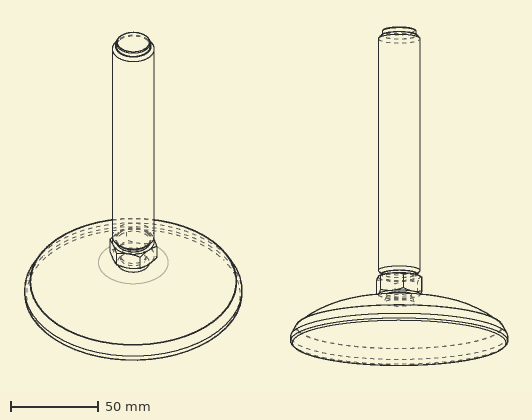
import cadquery as cq
import math

total_height = 183.7
base_diameter = 125

base_edge_chamfer = 1.1
base_rim_top = 3.9
skirt_top = 9.5
skirt_top_diameter = 118.8
dome_diameter = 118.0
dome_top = 23.5
flat_top_diameter = 40.0

cone_diameter = 18.4
neck_diameter = 14.7
neck_bottom = 26.8

nut_bottom = 28.5
nut_height = 10.3
across_flats = 24.0
nut_chamfer_angle = 30

stud_diameter = 24.0
shoulder_diameter = 20.5
shoulder_height = 2.0
relief_diameter = 19.5
stud_bottom = 42.6
stud_top = 178.7
tip_chamfer = 0.5

nut_top = nut_bottom + nut_height


def foot_plate():
    """Disc with chamfered rim, sloping skirt, narrow ledge and a dome tangent to its flat top."""
    base_radius = base_diameter / 2
    dome_radius = dome_diameter / 2
    flat_radius = flat_top_diameter / 2
    dome_width = dome_radius - flat_radius
    dome_height = dome_top - skirt_top
    arc_radius = (dome_width**2 + dome_height**2) / (2 * dome_height)
    half_sweep = math.atan2(dome_height, dome_width)
    arc_middle = (
        flat_radius + arc_radius * math.sin(half_sweep),
        dome_top - arc_radius * (1 - math.cos(half_sweep)),
    )
    return (
        cq.Workplane("XZ")
        .lineTo(base_radius - base_edge_chamfer, 0)
        .lineTo(base_radius, base_edge_chamfer)
        .lineTo(base_radius, base_rim_top)
        .lineTo(skirt_top_diameter / 2, skirt_top)
        .lineTo(dome_radius, skirt_top)
        .threePointArc(arc_middle, (flat_radius, dome_top))
        .lineTo(0, dome_top)
        .close()
        .revolve(360, (0, 0, 0), (0, 1, 0))
    )


def stud():
    """Turned stud: flared neck, relief, shank with chamfered shoulders and reduced tip."""
    neck_radius = neck_diameter / 2
    relief_radius = relief_diameter / 2
    shoulder_radius = shoulder_diameter / 2
    stud_radius = stud_diameter / 2
    return (
        cq.Workplane("XZ")
        .moveTo(0, dome_top)
        .lineTo(cone_diameter / 2, dome_top)
        .lineTo(neck_radius, neck_bottom)
        .lineTo(neck_radius, nut_bottom)
        .lineTo(relief_radius, nut_bottom)
        .lineTo(relief_radius, stud_bottom - shoulder_height)
        .lineTo(shoulder_radius, stud_bottom - shoulder_height)
        .lineTo(stud_radius, stud_bottom)
        .lineTo(stud_radius, stud_top)
        .lineTo(shoulder_radius, stud_top + shoulder_height)
        .lineTo(relief_radius, stud_top + shoulder_height)
        .lineTo(relief_radius, total_height - tip_chamfer)
        .lineTo(relief_radius - tip_chamfer, total_height)
        .lineTo(0, total_height)
        .close()
        .revolve(360, (0, 0, 0), (0, 1, 0))
    )


def nut():
    """Hexagon with its corners chamfered conically at both ends."""
    face_radius = across_flats / 2
    corner_radius = face_radius / math.cos(math.pi / 6)
    corner_drop = (corner_radius - face_radius) * math.tan(math.radians(nut_chamfer_angle))
    hexagon = (
        cq.Workplane("XY", origin=(0, 0, nut_bottom))
        .polygon(6, 2 * corner_radius)
        .extrude(nut_height)
    )
    chamfer_envelope = (
        cq.Workplane("XZ")
        .moveTo(0, nut_bottom)
        .lineTo(face_radius, nut_bottom)
        .lineTo(corner_radius, nut_bottom + corner_drop)
        .lineTo(corner_radius, nut_top - corner_drop)
        .lineTo(face_radius, nut_top)
        .lineTo(0, nut_top)
        .close()
        .revolve(360, (0, 0, 0), (0, 1, 0))
    )
    return hexagon.intersect(chamfer_envelope)


result = foot_plate().union(stud()).union(nut())